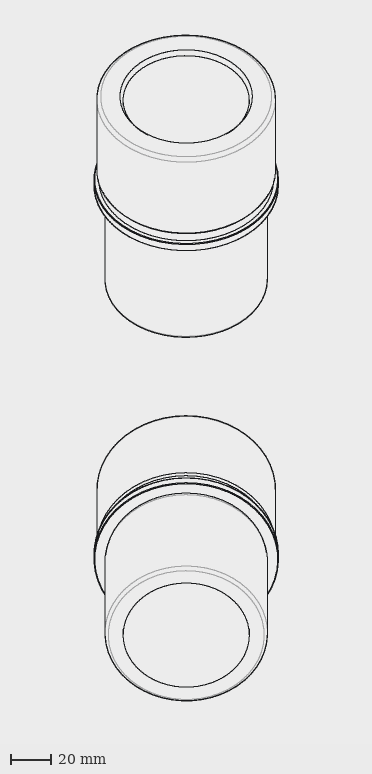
import cadquery as cq

total_height = 130.0
flange_bottom = 67.0
flange_height = 5.1
flange_top = flange_bottom + flange_height
head_bottom = 78.3
groove_height = 2.2

flange_radius = 46.0
head_radius = 44.6
neck_radius = 43.7
shank_radius = 40.5
bore_radius = 31.5

head_fillet = 2.0
shank_fillet = 1.7
head_chamfer_height = 1.3
flange_chamfer = 0.4
groove_depth = 0.5
bore_chamfer_width = 1.5
bore_chamfer_height = 2.6


def cylinder(radius, bottom, top):
    return cq.Workplane("XY").workplane(offset=bottom).circle(radius).extrude(top - bottom)


def cone(bottom_radius, top_radius, bottom, top):
    height = top - bottom
    solid = cq.Solid.makeCone(bottom_radius, top_radius, height, cq.Vector(0, 0, bottom))
    return cq.Workplane(obj=solid)


groove_radius = shank_radius - groove_depth
groove_bottom = flange_bottom - groove_height
shank = cylinder(shank_radius, 0, groove_bottom).faces("<Z").edges().fillet(shank_fillet)
groove_taper = cone(shank_radius, groove_radius, groove_bottom, flange_bottom)

flange = cylinder(flange_radius, flange_bottom, flange_top).edges().chamfer(flange_chamfer)

neck_top = head_bottom - head_chamfer_height
neck = cylinder(neck_radius, flange_top, neck_top)
head_bevel = cone(neck_radius, head_radius, neck_top, head_bottom)
head = cylinder(head_radius, head_bottom, total_height).faces(">Z").edges().fillet(head_fillet)

body = shank
for step in (groove_taper, flange, neck, head_bevel, head):
    body = body.union(step)

bore = cylinder(bore_radius, 0, total_height)
bore_lead_in = cone(
    bore_radius,
    bore_radius + bore_chamfer_width,
    total_height - bore_chamfer_height,
    total_height,
)
result = body.cut(bore).cut(bore_lead_in)